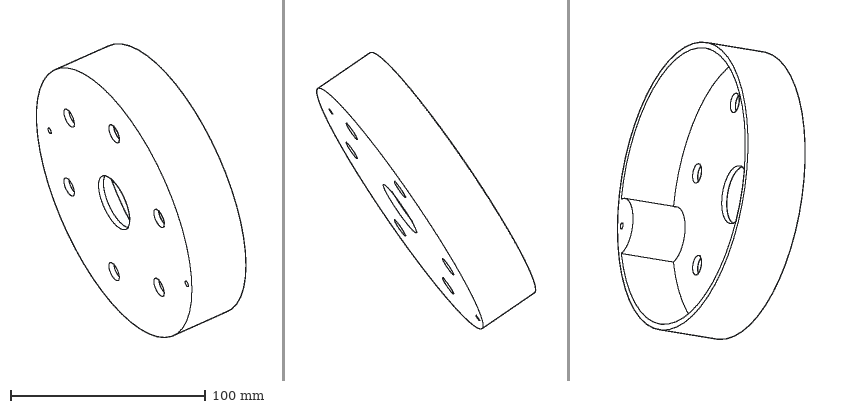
import cadquery as cq

outer_diameter = 150.0
depth = 33.0
front_y = -depth / 2

plate_thickness = 3.0
rim_thickness = 3.0

center_hole_diameter = 30.0
bolt_hole_diameter = 10.0
bolt_circle_diameter = 100.0
bolt_count = 6
bolt_start_angle = 90.0
pin_hole_diameter = 3.2
left_pin_x = -62.1
right_pin_x = 70.0

lobe_diameter = 30.0
lobe_x = 72.0


def front_plane(distance_behind_front=0.0):
    """XZ plane at a distance behind the front face, with its normal along +Y and local X along +X."""
    origin = (0, front_y + distance_behind_front, 0)
    return cq.Workplane(cq.Plane(origin=origin, xDir=(1, 0, 0), normal=(0, 1, 0)))


def make_disc():
    return front_plane().circle(outer_diameter / 2).extrude(depth)


def make_cup():
    cavity_radius = outer_diameter / 2 - rim_thickness
    cavity = front_plane(plate_thickness).circle(cavity_radius).extrude(depth - plate_thickness)
    return make_disc().cut(cavity)


def make_lobe():
    """Full-depth round lobe, trimmed to the outer diameter."""
    cylinder = front_plane().center(lobe_x, 0).circle(lobe_diameter / 2).extrude(depth)
    return cylinder.intersect(make_disc())


def make_holes():
    center = front_plane().circle(center_hole_diameter / 2).extrude(depth)
    bolts = (
        front_plane()
        .polarArray(bolt_circle_diameter / 2, bolt_start_angle, 360, bolt_count)
        .circle(bolt_hole_diameter / 2)
        .extrude(depth)
    )
    pins = (
        front_plane()
        .pushPoints([(left_pin_x, 0), (right_pin_x, 0)])
        .circle(pin_hole_diameter / 2)
        .extrude(depth)
    )
    return center.add(bolts).add(pins).combine()


result = make_cup().union(make_lobe()).cut(make_holes())